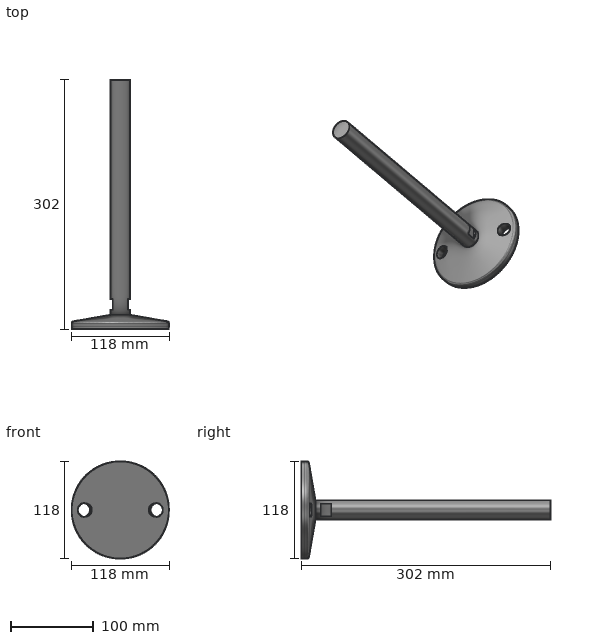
import cadquery as cq
import math

total_length = 302.0
pad_diameter = 118.0
stem_diameter = 24.0

rim_height = 9.5
cone_height = 17.5
rim_fillet = 2.7
tolerance = 0.03

taper_inset = 0.3
taper_height = 3.5

flat_start = 24.0
flat_length = 12.7
flat_width = 18.7

hole_diameter = 16.5
hole_radius = 43.0

pad_radius = pad_diameter / 2
stem_radius = stem_diameter / 2
sole_y = -total_length / 2
cone_angle = math.atan2(cone_height - rim_height, pad_radius - stem_radius)


def is_rim_edge(edge):
    """True for the edge at the rim height, before the pad is moved into place."""
    return math.isclose(edge.Center().y, rim_height, abs_tol=tolerance)


def make_pad():
    """Revolved disc with a slightly tapered rim and a conical upper face."""
    profile = (
        cq.Workplane("XY")
        .moveTo(0, 0)
        .lineTo(pad_radius - taper_inset, 0)
        .lineTo(pad_radius, taper_height)
        .lineTo(pad_radius, rim_height)
        .lineTo(stem_radius, cone_height)
        .lineTo(0, cone_height)
        .close()
    )
    pad = profile.revolve(360, (0, 0, 0), (0, 1, 0))
    pad = pad.edges("%CIRCLE").filter(is_rim_edge).fillet(rim_fillet)
    return pad.translate((0, sole_y, 0))


def make_stem():
    """Round stem from the sole to the far end, with two opposite wrench flats."""
    stem = cq.Workplane("XZ", origin=(0, sole_y, 0)).circle(stem_radius).extrude(-total_length)
    cutter_width = stem_diameter
    cutter_y = sole_y + flat_start + flat_length / 2
    for side in (-1, 1):
        cutter_x = side * (flat_width + cutter_width) / 2
        flat_cut = cq.Workplane("XY").box(cutter_width, flat_length, stem_diameter)
        stem = stem.cut(flat_cut.translate((cutter_x, cutter_y, 0)))
    return stem


def make_hole(side):
    """Cutter for one mounting hole, leaning outward so that it meets the cone squarely."""
    axis = cq.Vector(side * math.sin(cone_angle), math.cos(cone_angle), 0)
    center = cq.Vector(side * hole_radius, sole_y, 0)
    reach = 2 * cone_height
    return cq.Solid.makeCylinder(hole_diameter / 2, 2 * reach, center - axis * reach, axis)


result = make_pad().union(make_stem())
for hole_side in (-1, 1):
    result = result.cut(cq.Workplane(obj=make_hole(hole_side)))